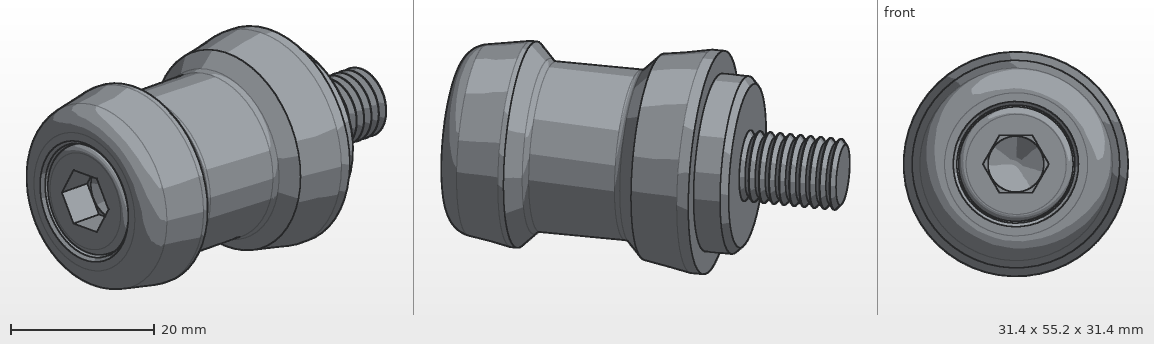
import cadquery as cq
import math


HEAD_RECESS = 0.2
HEAD_RADIUS = 8.0
HEAD_HEIGHT = 10.0
HEAD_FILLET = 1.0
BOLT_LENGTH = 45.0
BOLT_RADIUS = 5.0
THREAD_PITCH = 1.45
THREAD_ROOT_RADIUS = 4.25
THREAD_CREST_FLAT = 0.1
THREAD_CRESTS = 10
SOCKET_ACROSS_FLATS = 8.0
SOCKET_DEPTH = 5.0
SOCKET_CONE_RADIUS = 3.9
SOCKET_CONE_ANGLE = 120.0

COLLAR_RADIUS = 12.5
COLLAR_CHAMFER = 1.0
COLLAR_END_Y = 41.5
FLANGE_RADIUS = 15.7
FLANGE_FACE_Y = 36.7
FLANGE_BAND = 1.7
RIM_RADIUS = 14.5
RIM_TAPER = 10.0
WAIST_RADIUS = 12.0
WAIST_FILLET = 1.2
SHOULDER_ANGLE = math.pi / 4
FRONT_RIM_END_Y = 9.9
FRONT_RIM_BAND = 0.85
NOSE_FACE_RADIUS = 10.0
NOSE_ROUND = 3.5
COUNTERBORE_RADIUS = 8.25
COUNTERBORE_CHAMFER = 0.5

head_face_y = HEAD_RECESS
head_seat_y = head_face_y + HEAD_HEIGHT
tip_y = head_seat_y + BOLT_LENGTH
taper = math.radians(RIM_TAPER)


def turn(profile):
    """Revolve a closed half-profile drawn in the XY plane about the Y axis."""
    return profile.close().revolve(360, (0, 0, 0), (0, 1, 0))


def make_housing():
    nose_x = NOSE_FACE_RADIUS + NOSE_ROUND * math.cos(taper)
    nose_y = NOSE_ROUND * (1 - math.sin(taper))
    half_turn = (math.pi / 2 - taper) / 2
    nose_mid_x = NOSE_FACE_RADIUS + NOSE_ROUND * math.sin(half_turn)
    nose_mid_y = NOSE_ROUND * (1 - math.cos(half_turn))

    shoulder = (RIM_RADIUS - WAIST_RADIUS) / math.tan(SHOULDER_ANGLE)
    fillet_reach = WAIST_FILLET * math.tan(SHOULDER_ANGLE / 2)
    fillet_step_x = fillet_reach * math.sin(SHOULDER_ANGLE)
    fillet_step_y = fillet_reach * math.cos(SHOULDER_ANGLE)
    fillet_mid_x = WAIST_RADIUS + WAIST_FILLET * (1 - math.cos(SHOULDER_ANGLE / 2))
    fillet_mid_step = fillet_reach - WAIST_FILLET * math.sin(SHOULDER_ANGLE / 2)
    fillet_end_x = WAIST_RADIUS + fillet_step_x
    front_corner_y = FRONT_RIM_END_Y + shoulder
    taper_start_y = FLANGE_FACE_Y - FLANGE_BAND
    rear_rim_y = taper_start_y - (FLANGE_RADIUS - RIM_RADIUS) / math.tan(taper)
    rear_corner_y = rear_rim_y - shoulder

    profile = (
        cq.Workplane("XY")
        .moveTo(COUNTERBORE_RADIUS + COUNTERBORE_CHAMFER, 0)
        .lineTo(NOSE_FACE_RADIUS, 0)
        .threePointArc((nose_mid_x, nose_mid_y), (nose_x, nose_y))
        .lineTo(RIM_RADIUS, FRONT_RIM_END_Y - FRONT_RIM_BAND)
        .lineTo(RIM_RADIUS, FRONT_RIM_END_Y)
        .lineTo(fillet_end_x, front_corner_y - fillet_step_y)
        .threePointArc(
            (fillet_mid_x, front_corner_y + fillet_mid_step),
            (WAIST_RADIUS, front_corner_y + fillet_reach),
        )
        .lineTo(WAIST_RADIUS, rear_corner_y - fillet_reach)
        .threePointArc(
            (fillet_mid_x, rear_corner_y - fillet_mid_step),
            (fillet_end_x, rear_corner_y + fillet_step_y),
        )
        .lineTo(RIM_RADIUS, rear_rim_y)
        .lineTo(FLANGE_RADIUS, taper_start_y)
        .lineTo(FLANGE_RADIUS, FLANGE_FACE_Y)
        .lineTo(COLLAR_RADIUS, FLANGE_FACE_Y)
        .lineTo(COLLAR_RADIUS, COLLAR_END_Y - COLLAR_CHAMFER)
        .lineTo(COLLAR_RADIUS - COLLAR_CHAMFER, COLLAR_END_Y)
        .lineTo(BOLT_RADIUS, COLLAR_END_Y)
        .lineTo(BOLT_RADIUS, head_seat_y)
        .lineTo(COUNTERBORE_RADIUS, head_seat_y)
        .lineTo(COUNTERBORE_RADIUS, COUNTERBORE_CHAMFER)
    )
    return turn(profile)


def make_socket():
    """Hexagonal socket with a conical drill point at its floor, as a cutter."""
    floor_y = head_face_y + SOCKET_DEPTH
    corner_diameter = SOCKET_ACROSS_FLATS / math.cos(math.pi / 6)
    hexagon = (
        cq.Workplane("XZ", origin=(0, head_face_y, 0))
        .polygon(6, corner_diameter)
        .extrude(-SOCKET_DEPTH)
    )
    cone_depth = SOCKET_CONE_RADIUS / math.tan(math.radians(SOCKET_CONE_ANGLE / 2))
    drill_point = turn(
        cq.Workplane("XY")
        .moveTo(0, floor_y)
        .lineTo(SOCKET_CONE_RADIUS, floor_y)
        .lineTo(0, floor_y + cone_depth)
    )
    return hexagon.union(drill_point)


def make_bolt():
    flank = (THREAD_PITCH - THREAD_CREST_FLAT) / 2
    thread_start_y = tip_y - THREAD_CRESTS * THREAD_PITCH + flank
    fillet_mid = HEAD_FILLET * (1 - math.sin(math.pi / 4))

    profile = (
        cq.Workplane("XY")
        .moveTo(0, head_face_y)
        .lineTo(HEAD_RADIUS - HEAD_FILLET, head_face_y)
        .threePointArc(
            (HEAD_RADIUS - fillet_mid, head_face_y + fillet_mid),
            (HEAD_RADIUS, head_face_y + HEAD_FILLET),
        )
        .lineTo(HEAD_RADIUS, head_seat_y)
        .lineTo(BOLT_RADIUS, head_seat_y)
    )
    for crest in range(THREAD_CRESTS):
        crest_y = thread_start_y + crest * THREAD_PITCH
        if crest > 0:
            profile = profile.lineTo(BOLT_RADIUS, crest_y)
        profile = profile.lineTo(BOLT_RADIUS, crest_y + THREAD_CREST_FLAT)
        profile = profile.lineTo(THREAD_ROOT_RADIUS, crest_y + THREAD_CREST_FLAT + flank)
    profile = profile.lineTo(0, tip_y)
    return turn(profile).cut(make_socket())


housing = make_housing()
bolt = make_bolt()

result = cq.Compound.makeCompound([housing.val(), bolt.solids().val()])